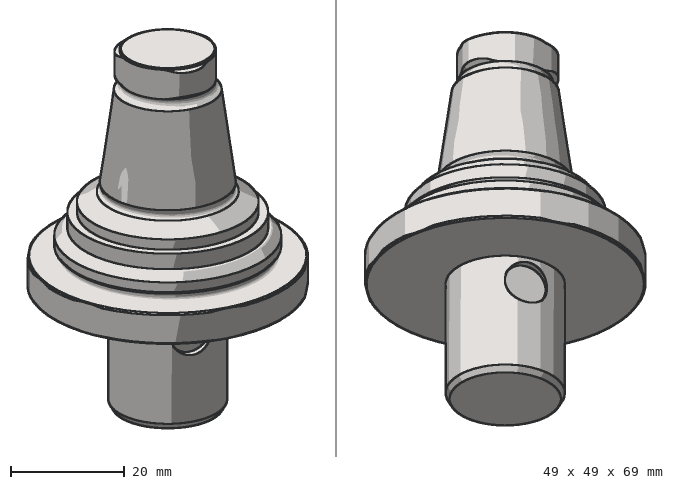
import math

import cadquery as cq

FLANGE_BOTTOM = 23.0
FLANGE_TOP = 29.0
GROOVE_FILLET_TOP = 29.85
COLLAR_UNDERCUT = 30.5
COLLAR_TOP = 34.4
STEP_TOP = 37.4
SHOULDER_EDGE = 39.4
TAPER_BOTTOM = 43.2
TAPER_TOP = 61.2
HEAD_BOTTOM = 63.05
TOTAL_HEIGHT = 69.0

SHANK_RADIUS = 21.0 / 2
SHANK_CHAMFER_HEIGHT = 1.2
SHANK_CHAMFER_ANGLE = 30.0
DIMPLE_DIAMETER = 8.0
DIMPLE_HEIGHT = 18.1
DIMPLE_DEPTH = 1.5

FLANGE_WIDTH = 49.0
FLAT_LENGTH = 6.4
FLANGE_RADIUS = math.hypot(FLANGE_WIDTH / 2, FLAT_LENGTH / 2)
FLANGE_CHAMFER = 0.3
FLAT_ANGLES = (0, 60, 90, 120, 180, 240, 270, 300)

GROOVE_RADIUS = 38.1 / 2
GROOVE_FILLET = 0.6
COLLAR_RADIUS = 40.0 / 2
COLLAR_CHAMFER = 1.5
COLLAR_RIM_FILLET = 0.5
UNDERCUT_CHAMFER = 0.5
CHAMFER_ANGLE = 45.0
STEP_RADIUS = 35.4 / 2
SHOULDER_RADIUS = 32.0 / 2
SHOULDER_TOP_RADIUS = 12.5
SHOULDER_RISE = 2.0
TAPER_BASE = SHOULDER_EDGE + SHOULDER_RISE

TAPER_BOTTOM_RADIUS = 12.0
TAPER_TOP_RADIUS = 9.5
LOWER_NECK_TOP_RADIUS = 11.8
LOWER_NECK_TOP = 42.6
LOWER_NECK_RADIUS = 11.7
LOWER_NECK_HEIGHT = 42.1
UPPER_NECK_RADIUS = 8.35
TAPER_RIM_RADIUS = 8.85
TAPER_RIM_SLOPE = 30.0

HEAD_RADIUS = 8.5
HEAD_CHAMFER = 0.25
LUG_REACH = 9.4
LUG_TOP_SLOPE = 25.0
LUG_UNDERSIDE_SLOPE = 40.0
LUG_HALF_ANGLE = 30.0
LUG_SHOULDER_X = 8.65
LUG_SHOULDER_Y = 2.73
LUG_COUNT = 3


def tangent(degrees):
    return math.tan(math.radians(degrees))


def revolved(profile):
    """Turn a closed radius-height profile around the Z axis."""
    return profile.close().revolve(360, (0, 0, 0), (0, 1, 0))


def make_shank():
    tip_radius = SHANK_RADIUS - SHANK_CHAMFER_HEIGHT * tangent(SHANK_CHAMFER_ANGLE)
    shank = revolved(
        cq.Workplane("XZ")
        .lineTo(tip_radius, 0)
        .lineTo(SHANK_RADIUS, SHANK_CHAMFER_HEIGHT)
        .lineTo(SHANK_RADIUS, FLANGE_BOTTOM)
        .lineTo(0, FLANGE_BOTTOM)
    )
    dimple = (
        cq.Workplane("YZ", origin=(SHANK_RADIUS - DIMPLE_DEPTH, 0, DIMPLE_HEIGHT))
        .circle(DIMPLE_DIAMETER / 2)
        .extrude(2 * DIMPLE_DEPTH)
    )
    for angle in (0, 180):
        shank = shank.cut(dimple.rotate((0, 0, 0), (0, 0, 1), angle))
    return shank


def make_flange():
    thickness = FLANGE_TOP - FLANGE_BOTTOM
    flange = (
        cq.Workplane("XY", origin=(0, 0, FLANGE_BOTTOM))
        .circle(FLANGE_RADIUS)
        .extrude(thickness)
        .edges("%CIRCLE")
        .chamfer(FLANGE_CHAMFER)
    )
    trim_depth = FLANGE_RADIUS
    trim_block = cq.Workplane("XY").box(trim_depth, FLANGE_WIDTH, thickness).translate(
        ((FLANGE_WIDTH + trim_depth) / 2, 0, FLANGE_BOTTOM + thickness / 2)
    )
    for angle in FLAT_ANGLES:
        flange = flange.cut(trim_block.rotate((0, 0, 0), (0, 0, 1), angle))
    return flange


def make_collar():
    """Groove, chamfered collar, step and conical shoulder above the flange."""
    arc_inset = GROOVE_FILLET * (1 - math.sqrt(0.5))
    undercut_radius = COLLAR_RADIUS - UNDERCUT_CHAMFER
    rim_radius = COLLAR_RADIUS - COLLAR_CHAMFER
    rim_flat = COLLAR_RIM_FILLET * tangent(CHAMFER_ANGLE / 2)
    rim_slant = rim_flat * math.sqrt(0.5)
    return revolved(
        cq.Workplane("XZ")
        .moveTo(0, FLANGE_TOP)
        .lineTo(GROOVE_RADIUS + GROOVE_FILLET, FLANGE_TOP)
        .threePointArc(
            (GROOVE_RADIUS + arc_inset, FLANGE_TOP + arc_inset),
            (GROOVE_RADIUS, FLANGE_TOP + GROOVE_FILLET),
        )
        .lineTo(GROOVE_RADIUS, GROOVE_FILLET_TOP)
        .tangentArcPoint((undercut_radius, COLLAR_UNDERCUT), relative=False)
        .lineTo(COLLAR_RADIUS, COLLAR_UNDERCUT + UNDERCUT_CHAMFER)
        .lineTo(COLLAR_RADIUS, COLLAR_TOP - COLLAR_CHAMFER)
        .lineTo(rim_radius + rim_slant, COLLAR_TOP - rim_slant)
        .tangentArcPoint((rim_radius - rim_flat, COLLAR_TOP), relative=False)
        .lineTo(STEP_RADIUS, COLLAR_TOP)
        .lineTo(STEP_RADIUS, STEP_TOP)
        .lineTo(SHOULDER_RADIUS, STEP_TOP)
        .lineTo(SHOULDER_RADIUS, SHOULDER_EDGE)
        .lineTo(SHOULDER_TOP_RADIUS, TAPER_BASE)
        .lineTo(0, TAPER_BASE)
    )


def make_taper():
    """Tapered body with a rounded neck below it and another above it."""
    rim_height = TAPER_TOP + (TAPER_TOP_RADIUS - TAPER_RIM_RADIUS) * tangent(TAPER_RIM_SLOPE)
    neck_height = (HEAD_BOTTOM + rim_height) / 2
    return revolved(
        cq.Workplane("XZ")
        .moveTo(0, TAPER_BASE)
        .lineTo(SHOULDER_TOP_RADIUS, TAPER_BASE)
        .threePointArc(
            (LOWER_NECK_RADIUS, LOWER_NECK_HEIGHT),
            (LOWER_NECK_TOP_RADIUS, LOWER_NECK_TOP),
        )
        .lineTo(TAPER_BOTTOM_RADIUS, TAPER_BOTTOM)
        .lineTo(TAPER_TOP_RADIUS, TAPER_TOP)
        .lineTo(TAPER_RIM_RADIUS, rim_height)
        .threePointArc((UPPER_NECK_RADIUS, neck_height), (HEAD_RADIUS, HEAD_BOTTOM))
        .lineTo(0, HEAD_BOTTOM)
    )


def make_head():
    """Lugged disc with a chamfered top edge and cones trimming the lugs above and below."""
    height = TOTAL_HEIGHT - HEAD_BOTTOM
    root_x = HEAD_RADIUS * math.cos(math.radians(LUG_HALF_ANGLE))
    root_y = HEAD_RADIUS * math.sin(math.radians(LUG_HALF_ANGLE))
    lug = (
        cq.Workplane("XY", origin=(0, 0, HEAD_BOTTOM))
        .lineTo(root_x, -root_y)
        .lineTo(LUG_SHOULDER_X, -LUG_SHOULDER_Y)
        .threePointArc((LUG_REACH, 0), (LUG_SHOULDER_X, LUG_SHOULDER_Y))
        .lineTo(root_x, root_y)
        .close()
        .extrude(height)
    )
    head = cq.Workplane("XY", origin=(0, 0, HEAD_BOTTOM)).circle(HEAD_RADIUS).extrude(height)
    for index in range(LUG_COUNT):
        head = head.union(lug.rotate((0, 0, 0), (0, 0, 1), index * 360 / LUG_COUNT))

    outer_radius = LUG_REACH + HEAD_CHAMFER
    underside_rise = (outer_radius - HEAD_RADIUS) * tangent(LUG_UNDERSIDE_SLOPE)
    top_drop = HEAD_CHAMFER + (outer_radius - HEAD_RADIUS) * tangent(LUG_TOP_SLOPE)
    envelope = revolved(
        cq.Workplane("XZ")
        .moveTo(0, HEAD_BOTTOM)
        .lineTo(HEAD_RADIUS, HEAD_BOTTOM)
        .lineTo(outer_radius, HEAD_BOTTOM + underside_rise)
        .lineTo(outer_radius, TOTAL_HEIGHT - top_drop)
        .lineTo(HEAD_RADIUS, TOTAL_HEIGHT - HEAD_CHAMFER)
        .lineTo(HEAD_RADIUS - HEAD_CHAMFER, TOTAL_HEIGHT)
        .lineTo(0, TOTAL_HEIGHT)
    )
    return head.intersect(envelope)


result = make_shank()
for section in (make_flange(), make_collar(), make_taper(), make_head()):
    result = result.union(section)